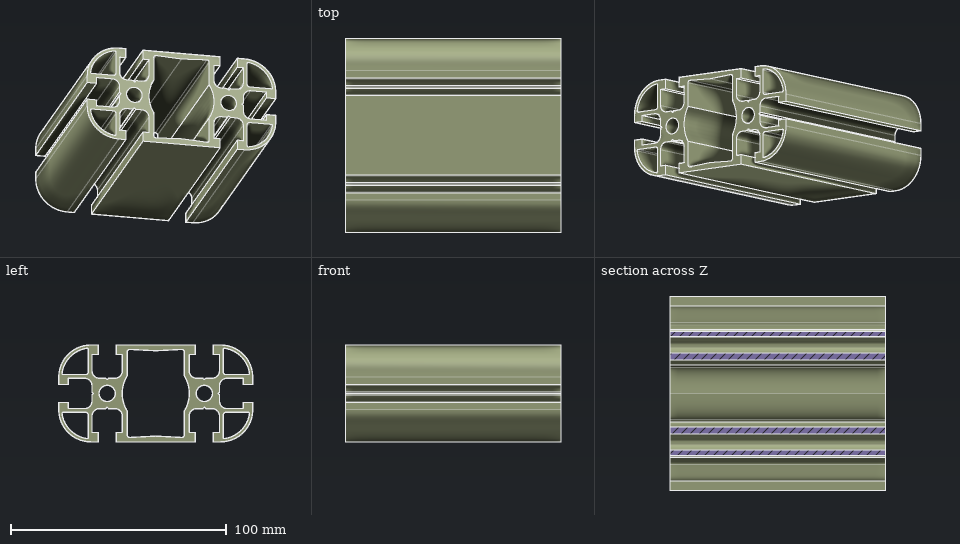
import cadquery as cq
import math

length = 100.0
module = 45.0
width = 2 * module
height = module
cell_center = module / 2
corner_radius = 15.0

slot_opening = 8.2
lip_depth = 4.5
cavity_width = 13.9
core_width = 14.2
floor_fillet = 3.3
notch_width = 1.4
notch_depth = 0.7

bore_diameter = 7.4
skin = 1.5
corner_web_offset = 8.8
corner_pocket_fillet = 1.2
corner_pocket_tip_fillet = 0.5

chamber_width = 26.3
chamber_corner_drop = 2.1
chamber_middle_drop = 2.8
chamber_corner_fillet = 1.0
chamber_bulge_radius = 15.5

profile_plane = cq.Workplane("YZ", origin=(-length / 2, 0, 0))


def slot_cutter():
    """T-slot opening upwards, with the core axis at the local origin."""
    floor = core_width / 2
    top = height / 2
    cavity_top = top - lip_depth
    cavity = (
        profile_plane.center(0, (floor + cavity_top) / 2)
        .rect(cavity_width, cavity_top - floor)
        .extrude(length)
        .edges("|X and <Z")
        .fillet(floor_fillet)
    )
    opening = (
        profile_plane.center(0, (floor + floor_fillet + top) / 2)
        .rect(slot_opening, top - floor - floor_fillet)
        .extrude(length)
    )
    notch = (
        profile_plane.moveTo(-notch_width / 2, floor)
        .lineTo(0, floor - notch_depth)
        .lineTo(notch_width / 2, floor)
        .close()
        .extrude(length)
    )
    return cavity.union(opening).union(notch)


def corner_pocket():
    """Hollow behind the rounded corner in +Y +Z, with the core axis at the local origin."""
    arc_center = module / 2 - corner_radius
    arc_radius = corner_radius - skin
    web = corner_web_offset
    reach = arc_center + math.sqrt(arc_radius**2 - (web - arc_center) ** 2)
    arc_middle = arc_center + arc_radius * math.sqrt(0.5)
    pocket = (
        profile_plane.moveTo(web, web)
        .lineTo(reach, web)
        .threePointArc((arc_middle, arc_middle), (web, reach))
        .close()
        .extrude(length)
    )
    inner_edge = cq.selectors.NearestToPointSelector((0, web, web))
    tip_edges = cq.selectors.SumSelector(
        cq.selectors.NearestToPointSelector((0, reach, web)),
        cq.selectors.NearestToPointSelector((0, web, reach)),
    )
    return (
        pocket.edges("|X").edges(tip_edges).fillet(corner_pocket_tip_fillet)
        .edges("|X").edges(inner_edge).fillet(corner_pocket_fillet)
    )


def chamber_cutter():
    """Central chamber: ridged top and bottom, sides bulging towards the bores."""
    side = chamber_width / 2
    edge_z = height / 2 - chamber_corner_drop
    middle_z = height / 2 - chamber_middle_drop
    bulge_z = math.sqrt(chamber_bulge_radius**2 - side**2)
    box = (
        profile_plane.moveTo(-side, edge_z)
        .lineTo(0, middle_z)
        .lineTo(side, edge_z)
        .lineTo(side, -edge_z)
        .lineTo(0, -middle_z)
        .lineTo(-side, -edge_z)
        .close()
        .extrude(length)
        .edges("|X and (<Y or >Y)")
        .fillet(chamber_corner_fillet)
    )
    bulge = (
        profile_plane.circle(chamber_bulge_radius).extrude(length)
        .intersect(profile_plane.rect(width, 2 * bulge_z).extrude(length))
    )
    return box.union(bulge)


def cell_cuts():
    """All cuts of the cell on the +Y side."""
    slot = slot_cutter()
    pocket = corner_pocket()
    cuts = profile_plane.circle(bore_diameter / 2).extrude(length)
    for angle in (-90, 0, 180):
        cuts = cuts.union(slot.rotate((0, 0, 0), (1, 0, 0), angle))
    for angle in (-90, 0):
        cuts = cuts.union(pocket.rotate((0, 0, 0), (1, 0, 0), angle))
    return cuts.translate((0, cell_center, 0))


body = profile_plane.rect(width, height).extrude(length).edges("|X").fillet(corner_radius)
cuts = cell_cuts()
result = body.cut(cuts).cut(cuts.mirror("XZ")).cut(chamber_cutter())